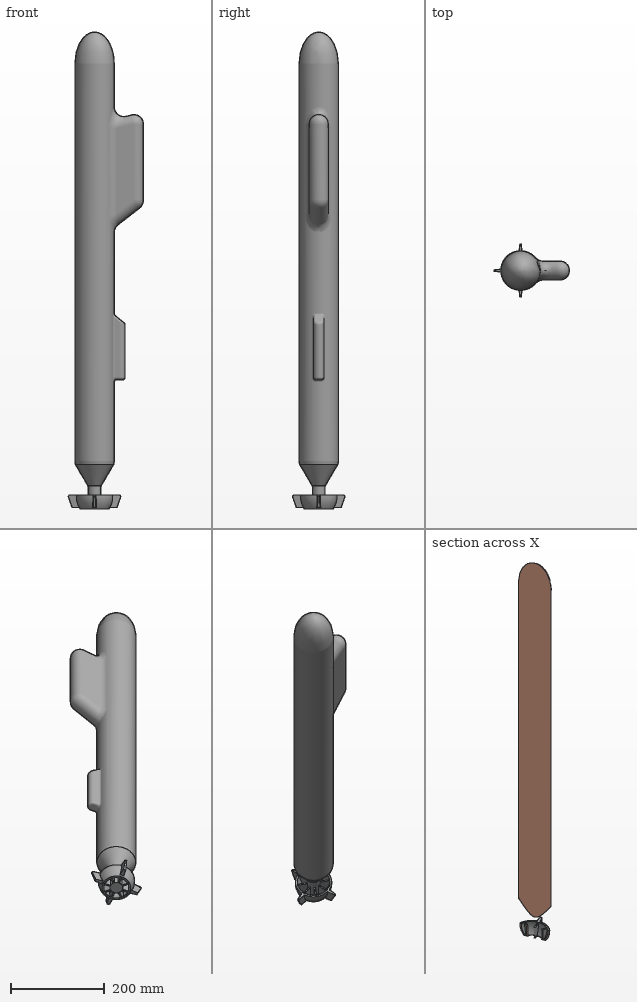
import cadquery as cq

TOTAL_LENGTH = 1020.0
TOTAL_DEPTH = 161.0
PROPELLER_SPAN = 113.0

HULL_RADIUS = 85.0 / 2
NOSE_LENGTH = 68.0
RIM_TOP = 102.0
RIM_BOTTOM = 96.0
CONE_TOP_RADIUS = 83.0 / 2
CONE_END_RADIUS = 30.0 / 2
CONE_LIP = 2.0
CONE_END = 49.0

FIN_REACH = TOTAL_DEPTH - PROPELLER_SPAN / 2
FIN_HALF_WIDTH = 20.0
FIN_BLEND = 20.0
FIN_TOP = 823.0
FIN_TOP_DROP = 21.0
FIN_FOOT = 660.0
FIN_FOOT_DROP = 65.0

RAIL_REACH = 65.0
RAIL_HALF_WIDTH = 11.0
RAIL_TOP = 397.0
RAIL_TOP_RISE = 53.0
RAIL_BOTTOM = 276.0
RAIL_EDGE_RADIUS = 5.0
RAIL_BLEND = 5.0

SHAFT_RADIUS = 28.0 / 2
RING_HEIGHT = 31.0
RING_TOP_RADIUS = 39.0
RING_MIDDLE_RADIUS = 38.0
RING_BOTTOM_RADIUS = 31.0
RING_WALL = 4.0
VANE_COUNT = 8
VANE_THICKNESS = 3.0
VANE_HEIGHT = 29.0
BLADE_COUNT = 4
BLADE_TIP_RADIUS = PROPELLER_SPAN / 2
BLADE_BOTTOM_RADIUS = 48.0
BLADE_BOTTOM = 3.0
BLADE_ROOT_RADIUS = RING_BOTTOM_RADIUS - RING_WALL
BLADE_ROOT_THICKNESS = 10.0
BLADE_TIP_THICKNESS = 3.0
BLADE_CORNER = 3.0

Z_AXIS = ((0, 0, 0), (0, 0, 1))


def spin(profile):
    """Revolve an XZ half profile fully about the local vertical axis."""
    return profile.close().revolve(360, (0, 0, 0), (0, 1, 0))


def make_shell():
    """Turned hull: tail cone with a short lip, tapered rim, cylinder and half-ellipsoid nose."""
    nose_base = TOTAL_LENGTH - NOSE_LENGTH
    shell = spin(
        cq.Workplane("XZ")
        .moveTo(0, CONE_END)
        .lineTo(CONE_END_RADIUS, CONE_END)
        .lineTo(CONE_END_RADIUS, CONE_END + CONE_LIP)
        .lineTo(CONE_TOP_RADIUS, RIM_BOTTOM)
        .lineTo(HULL_RADIUS, RIM_TOP)
        .lineTo(HULL_RADIUS, nose_base)
        .lineTo(0, nose_base)
    )
    nose = spin(
        cq.Workplane("XZ", origin=(0, 0, nose_base))
        .lineTo(HULL_RADIUS, 0)
        .ellipseArc(HULL_RADIUS, NOSE_LENGTH, 0, 90, startAtCurrent=True)
    )
    return shell.union(nose)


def make_rod(start, end):
    """Cylinder of the fin's half width between two (x, z) points, in the plane Y = 0."""
    start_point = cq.Vector(start[0], 0, start[1])
    along = cq.Vector(end[0], 0, end[1]) - start_point
    return cq.Workplane(cq.Solid.makeCylinder(FIN_HALF_WIDTH, along.Length, start_point, along))


def make_fin():
    """Flat plate with round rods along its three free edges and balls at the two outer corners."""
    edge_x = FIN_REACH - FIN_HALF_WIDTH
    outline = [
        (0, FIN_TOP - FIN_TOP_DROP),
        (edge_x, FIN_TOP),
        (edge_x, FIN_FOOT),
        (0, FIN_FOOT - FIN_FOOT_DROP),
    ]
    fin = cq.Workplane("XZ").polyline(outline).close().extrude(FIN_HALF_WIDTH, both=True)
    for start, end in zip(outline, outline[1:]):
        fin = fin.union(make_rod(start, end))
    for x, z in outline[1:3]:
        fin = fin.union(cq.Workplane("XY").sphere(FIN_HALF_WIDTH).translate((x, 0, z)))
    return fin


def make_rail():
    """Upright bar with a half-round front, a sloping top and softened ends."""
    nose_x = RAIL_REACH - RAIL_HALF_WIDTH
    root_top = RAIL_TOP + RAIL_TOP_RISE
    bar = (
        cq.Workplane("XY", origin=(0, 0, RAIL_BOTTOM))
        .moveTo(0, -RAIL_HALF_WIDTH)
        .lineTo(nose_x, -RAIL_HALF_WIDTH)
        .threePointArc((RAIL_REACH, 0), (nose_x, RAIL_HALF_WIDTH))
        .lineTo(0, RAIL_HALF_WIDTH)
        .close()
        .extrude(root_top - RAIL_BOTTOM)
    )
    side = (
        cq.Workplane("XZ")
        .moveTo(0, RAIL_BOTTOM)
        .lineTo(RAIL_REACH, RAIL_BOTTOM)
        .lineTo(RAIL_REACH, RAIL_TOP)
        .lineTo(0, root_top)
        .close()
        .extrude(RAIL_HALF_WIDTH, both=True)
    )
    return bar.intersect(side).faces("<Z or >Z").edges("not <X").fillet(RAIL_EDGE_RADIUS)


def join_with_blend(hull, feature, half_width, low_z, high_z, radius):
    """Add a feature to the hull and fillet the edges where it leaves the hull's +X flank.

    The selection box catches edges by their centres, in the outer half of the hull's radius.
    """
    root_zone = cq.selectors.BoxSelector(
        (HULL_RADIUS / 2, -half_width, low_z), (HULL_RADIUS, half_width, high_z)
    )
    joined = hull.union(feature)
    return joined.edges(root_zone).fillet(radius)


def make_hull():
    hull = make_shell()
    fin_low = FIN_FOOT - FIN_FOOT_DROP
    fin_high = FIN_TOP + FIN_HALF_WIDTH
    hull = join_with_blend(hull, make_fin(), FIN_HALF_WIDTH, fin_low, fin_high, FIN_BLEND)
    rail_low = RAIL_BOTTOM - RAIL_BLEND
    rail_high = RAIL_TOP + RAIL_TOP_RISE
    return join_with_blend(hull, make_rail(), RAIL_HALF_WIDTH, rail_low, rail_high, RAIL_BLEND)


def make_bowl(inset):
    """Solid bowl bounded by the ring's outer wall moved inward by an inset."""
    return spin(
        cq.Workplane("XZ")
        .lineTo(RING_BOTTOM_RADIUS - inset, 0)
        .threePointArc(
            (RING_MIDDLE_RADIUS - inset, RING_HEIGHT / 2),
            (RING_TOP_RADIUS - inset, RING_HEIGHT),
        )
        .lineTo(0, RING_HEIGHT)
    )


def make_vane():
    """Thin radial wall from the shaft axis out to the middle of the ring wall."""
    return (
        cq.Workplane("XY")
        .box(RING_TOP_RADIUS, VANE_THICKNESS, VANE_HEIGHT, centered=(False, True, False))
        .intersect(make_bowl(RING_WALL / 2))
    )


def make_blade():
    """Radial blade that thins from root to tip, its tip leaning inward towards the bottom."""
    plan = (
        cq.Workplane("XY")
        .moveTo(BLADE_ROOT_RADIUS, -BLADE_ROOT_THICKNESS / 2)
        .lineTo(BLADE_TIP_RADIUS, -BLADE_TIP_THICKNESS / 2)
        .lineTo(BLADE_TIP_RADIUS, BLADE_TIP_THICKNESS / 2)
        .lineTo(BLADE_ROOT_RADIUS, BLADE_ROOT_THICKNESS / 2)
        .close()
        .extrude(RING_HEIGHT)
    )
    side = (
        cq.Workplane("XZ")
        .moveTo(0, BLADE_BOTTOM)
        .lineTo(BLADE_BOTTOM_RADIUS, BLADE_BOTTOM)
        .lineTo(BLADE_TIP_RADIUS, RING_HEIGHT - BLADE_CORNER)
        .lineTo(BLADE_TIP_RADIUS - BLADE_CORNER, RING_HEIGHT)
        .lineTo(0, RING_HEIGHT)
        .close()
        .extrude(BLADE_ROOT_THICKNESS, both=True)
    )
    return plan.intersect(side).cut(make_bowl(RING_WALL))


def add_around(body, item, count):
    """Join evenly spaced copies of an item to a body, turned about the Z axis."""
    for index in range(count):
        body = body.union(item.rotate(*Z_AXIS, index * 360 / count))
    return body


def make_propeller():
    """Ring, shaft reaching up to the tail cone, inner vanes and outer blades."""
    ring = make_bowl(0).cut(make_bowl(RING_WALL))
    propeller = ring.union(cq.Workplane("XY").circle(SHAFT_RADIUS).extrude(CONE_END))
    propeller = add_around(propeller, make_vane(), VANE_COUNT)
    return add_around(propeller, make_blade(), BLADE_COUNT)


hull = make_hull()
propeller = make_propeller()
result = cq.Compound.makeCompound([hull.solids().val(), propeller.solids().val()])